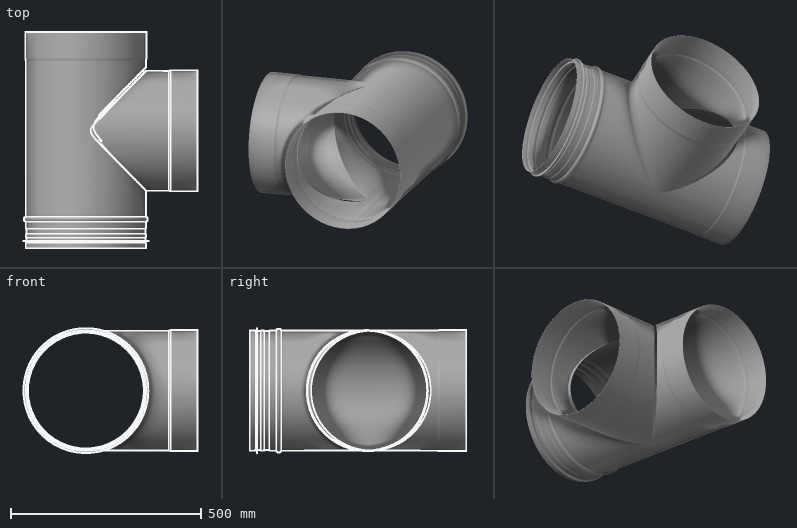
import cadquery as cq
import math

WALL = 0.8
RUN_OUTER_R = 317.2 / 2
BRANCH_OUTER_R = 316.2 / 2
RUN_FRONT_Y = -309.5
RUN_LENGTH = 570.0
RUN_BACK_Y = RUN_FRONT_Y + RUN_LENGTH
BRANCH_END_X = 294.0

SOCKET_OUTER_R = 319.6 / 2
SOCKET_LENGTH = 70.5
SOCKET_TAPER = 5.0

BEAD_FROM_FRONT = 76.5
BEAD_HALF_WIDTH = 7.0
BEAD_OUTER_R = 327.0 / 2

GROOVE_WIDTH = 13.0
GROOVE_MOUTH_R = 2.5
FRONT_GROOVE = 15.5
REAR_GROOVE = 38.3
GROOVE_FLOOR_R = 306.0 / 2

SEAL_OUTER_R = 314.0 / 2
LIP_OUTER_R = 329.6 / 2
LIP_THICKNESS = 0.6
LIP_FROM_FRONT = 19.0

OPENING_R = BRANCH_OUTER_R - WALL
OPENING_SHIFT = 9.5


def spigot_y(from_front):
    """Y of a point given by its distance from the front edge of the run."""
    return RUN_FRONT_Y + from_front


def add_groove(profile, front_wall, inset):
    """Continue the run's profile through one groove with rounded mouth edges."""
    radius = RUN_OUTER_R - inset
    floor_r = GROOVE_FLOOR_R - inset
    mouth_r = GROOVE_MOUTH_R - inset
    mouth_centre_r = radius - mouth_r
    arc_offset = mouth_r * math.sqrt(0.5)
    arc_middle_r = mouth_centre_r + arc_offset
    near_y = spigot_y(front_wall) - inset
    far_y = spigot_y(front_wall + GROOVE_WIDTH) + inset
    near_centre_y = near_y - mouth_r
    far_centre_y = far_y + mouth_r
    return (
        profile.lineTo(-radius, near_centre_y)
        .threePointArc((-arc_middle_r, near_centre_y + arc_offset), (-mouth_centre_r, near_y))
        .lineTo(-floor_r, near_y)
        .lineTo(-floor_r, far_y)
        .lineTo(-mouth_centre_r, far_y)
        .threePointArc((-arc_middle_r, far_centre_y - arc_offset), (-radius, far_centre_y))
    )


def run_solid(inset):
    """Solid of revolution bounded by the run's outer face moved inward by inset."""
    radius = RUN_OUTER_R - inset
    socket_r = SOCKET_OUTER_R - inset
    socket_y = RUN_BACK_Y - SOCKET_LENGTH
    bead_r = BEAD_OUTER_R - inset
    bead_y = spigot_y(BEAD_FROM_FRONT)
    bead_half_width = BEAD_HALF_WIDTH - inset

    profile = cq.Workplane("XY").moveTo(0, RUN_FRONT_Y).lineTo(-radius, RUN_FRONT_Y)
    for front_wall in (FRONT_GROOVE, REAR_GROOVE):
        profile = add_groove(profile, front_wall, inset)
    profile = (
        profile.lineTo(-radius, bead_y - bead_half_width)
        .threePointArc((-bead_r, bead_y), (-radius, bead_y + bead_half_width))
        .lineTo(-radius, socket_y - SOCKET_TAPER)
        .lineTo(-socket_r, socket_y)
        .lineTo(-socket_r, RUN_BACK_Y)
        .lineTo(0, RUN_BACK_Y)
        .close()
    )
    return profile.revolve(360, (0, 0, 0), (0, 1, 0))


def branch_solid(inset):
    """Solid of revolution bounded by the branch's outer face moved inward by inset."""
    radius = BRANCH_OUTER_R - inset
    socket_r = SOCKET_OUTER_R - inset
    socket_x = BRANCH_END_X - SOCKET_LENGTH
    return (
        cq.Workplane("XY")
        .lineTo(0, radius)
        .lineTo(socket_x - SOCKET_TAPER, radius)
        .lineTo(socket_x, socket_r)
        .lineTo(BRANCH_END_X, socket_r)
        .lineTo(BRANCH_END_X, 0)
        .close()
        .revolve(360, (0, 0, 0), (1, 0, 0))
    )


def make_run():
    """Sheet tube with socket, bead and grooves, open on the +X side toward the branch."""
    opening = (
        cq.Workplane("YZ")
        .center(OPENING_SHIFT, 0)
        .circle(OPENING_R)
        .extrude(BRANCH_END_X)
    )
    return run_solid(0).cut(run_solid(WALL)).cut(opening)


def make_branch():
    """Sheet tube with a socket, its other end trimmed to the outside of the run."""
    run_envelope = (
        cq.Workplane("XZ", origin=(0, RUN_BACK_Y, 0))
        .circle(RUN_OUTER_R)
        .extrude(RUN_LENGTH)
    )
    return branch_solid(0).cut(branch_solid(WALL)).cut(run_envelope)


def make_ring(from_front, width, outer_r):
    """Ring standing on the groove floor, starting at from_front and running backward."""
    return (
        cq.Workplane("XZ", origin=(0, spigot_y(from_front), 0))
        .circle(outer_r)
        .circle(GROOVE_FLOOR_R)
        .extrude(-width)
    )


def make_seal(front_wall):
    """Seal ring that fills one groove between its straight walls."""
    return make_ring(front_wall, GROOVE_WIDTH, SEAL_OUTER_R)


run = make_run()
branch = make_branch()
rear_seal = make_seal(REAR_GROOVE)

sealing_lip = make_ring(LIP_FROM_FRONT, LIP_THICKNESS, LIP_OUTER_R)
front_seal = make_seal(FRONT_GROOVE).union(sealing_lip)

bodies = (run, branch, front_seal, rear_seal)
result = cq.Compound.makeCompound([body.solids().val() for body in bodies])